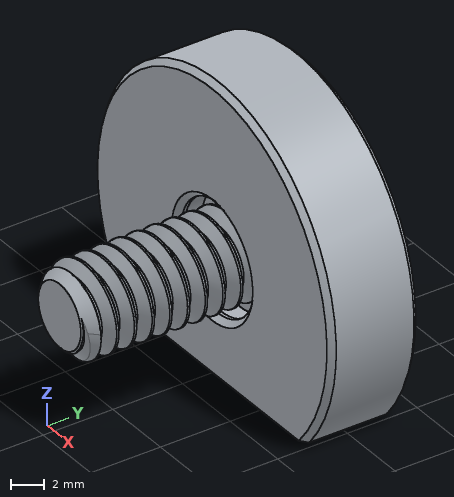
import cadquery as cq
import math

KNOB_RADIUS = 12.45
KNOB_THICKNESS = 6.37
FLAT_DROP = 7.92
CHAMFER = 0.4

MOUTH_RADIUS = 3.85
UNDERCUT_RADIUS = 4.0
LIP_LENGTH = 0.25
RECESS_DEPTH = 2.0

SCREW_X = -0.42
SCREW_Z = -0.3
SCREW_REACH = 10.65
CREST_RADIUS = 3.173
ROOT_RADIUS = 2.35
TIP_RADIUS = 2.25
PITCH = 1.27
CREST_WIDTH = PITCH / 8
ROOT_WIDTH = PITCH / 8
GROOVE_SETBACK = 0.1
CUT_MARGIN = 0.05

SCREW_LENGTH = SCREW_REACH + RECESS_DEPTH


def make_knob():
    """Disc from the front face at Y = 0 back to Y = KNOB_THICKNESS."""
    disc = cq.Workplane("XZ").circle(KNOB_RADIUS).extrude(-KNOB_THICKNESS)
    disc = disc.faces("<Y or >Y").chamfer(CHAMFER)
    keep_height = FLAT_DROP + KNOB_RADIUS
    keep = cq.Workplane("XY").box(
        2 * KNOB_RADIUS, KNOB_THICKNESS, keep_height, centered=(True, False, False)
    )
    disc = disc.intersect(keep.translate((0, 0, -FLAT_DROP)))
    return disc.cut(make_recess())


def make_recess():
    """Space removed from the knob: chamfered mouth, straight lip, then the wider undercut."""
    lip_end = CHAMFER + LIP_LENGTH
    half_section = cq.Workplane("XY").polyline([
        (0, 0),
        (MOUTH_RADIUS + CHAMFER, 0),
        (MOUTH_RADIUS, CHAMFER),
        (MOUTH_RADIUS, lip_end),
        (UNDERCUT_RADIUS, lip_end),
        (UNDERCUT_RADIUS, RECESS_DEPTH),
        (0, RECESS_DEPTH),
    ]).close()
    return half_section.revolve(360, (0, 0), (0, 1))


def make_thread_groove():
    """Helical V groove with a flat root, running past both ends of the screw along Z."""
    flank_run = (PITCH - CREST_WIDTH - ROOT_WIDTH) / 2
    flank_slope = flank_run / (CREST_RADIUS - ROOT_RADIUS)
    root_half = ROOT_WIDTH / 2
    outer_half = root_half + flank_run + flank_slope * CUT_MARGIN
    outer_radius = CREST_RADIUS + CUT_MARGIN
    groove_length = SCREW_LENGTH + 3 * PITCH
    helix = cq.Wire.makeHelix(PITCH, groove_length, ROOT_RADIUS)
    profile = cq.Workplane("XZ").polyline([
        (ROOT_RADIUS, root_half),
        (outer_radius, outer_half),
        (outer_radius, -outer_half),
        (ROOT_RADIUS, -root_half),
    ]).close()
    groove = profile.sweep(cq.Workplane(helix), isFrenet=True)
    turns = math.ceil(SCREW_LENGTH / PITCH) + 1
    return groove.translate((0, 0, SCREW_LENGTH - GROOVE_SETBACK - turns * PITCH))


def make_screw():
    """Threaded rod from the recess floor out to its bevelled tip."""
    bevel = CREST_RADIUS - TIP_RADIUS
    blank = cq.Workplane("XY").circle(CREST_RADIUS).extrude(SCREW_LENGTH)
    blank = blank.faces(">Z").chamfer(bevel)
    screw = blank.cut(make_thread_groove())
    screw = screw.rotate((0, 0, 0), (1, 0, 0), 90)
    return screw.translate((SCREW_X, RECESS_DEPTH, SCREW_Z))


knob = make_knob()
screw = make_screw()
result = cq.Compound.makeCompound([knob.val(), screw.val()])